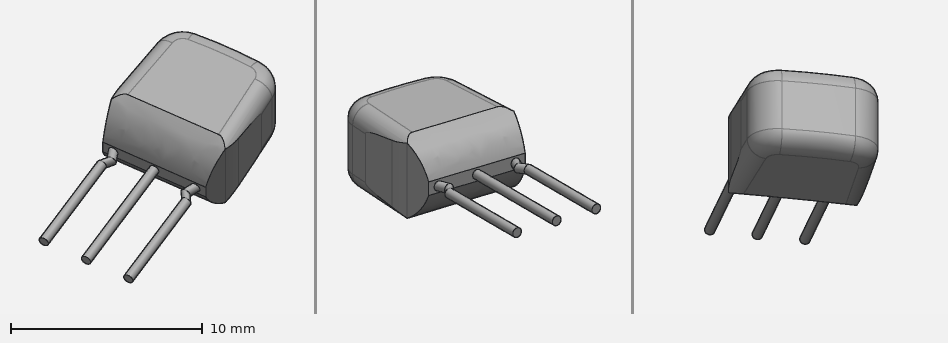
import cadquery as cq


BODY_WIDTH = 7.1
BODY_LENGTH = 7.89
BODY_HEIGHT = 4.8
HALF_WIDTH = BODY_WIDTH / 2
HALF_HEIGHT = BODY_HEIGHT / 2

EDGE_RADIUS = 1.0
CORNER_RADIUS = 1.65
ARCH_SAG = 0.23
CORNER_HALF_WIDTH = 3.4
CORNER_Y = BODY_LENGTH - ARCH_SAG
SHELL_FLARE = 0.06
SHELL_FRONT_Y = -1.5
SHELL_FRONT_HALF_WIDTH = CORNER_HALF_WIDTH + SHELL_FLARE * (CORNER_Y - SHELL_FRONT_Y)

FRONT_HALF_WIDTH = 3.1
TAPER_LENGTH = 2.05
TAPER_RADIUS = 5.25

NOSE_LENGTH = 1.98
STRIP_HALF_HEIGHT = 0.39
NOSE_UPPER_Y = 1.3
NOSE_UPPER_Z = 2.06
NOSE_LOWER_Y = 0.45
NOSE_LOWER_Z = 1.23

LEAD_DIAMETER = 0.55
LEAD_RADIUS = LEAD_DIAMETER / 2
LEAD_LENGTH = 7.13
LEAD_SPACING = 2.54
ROOT_X = 2.46
KINK_X = 2.22
KINK_Y = -0.6
STRAIGHT_START_Y = -1.07


def make_rounded_shell():
    """Arched outline extruded to full height, with its top and bottom edges rounded."""
    return (
        cq.Workplane("XY", origin=(0, 0, -HALF_HEIGHT))
        .moveTo(-SHELL_FRONT_HALF_WIDTH, SHELL_FRONT_Y)
        .lineTo(SHELL_FRONT_HALF_WIDTH, SHELL_FRONT_Y)
        .lineTo(CORNER_HALF_WIDTH, CORNER_Y)
        .threePointArc((0, BODY_LENGTH), (-CORNER_HALF_WIDTH, CORNER_Y))
        .close()
        .extrude(BODY_HEIGHT)
        .edges("|Z")
        .edges(">Y")
        .fillet(CORNER_RADIUS)
        .faces("<Z or >Z")
        .edges("not <Y")
        .fillet(EDGE_RADIUS)
    )


def make_side_walls():
    """Flat-sided prism that trims the shell to width and tapers toward the front."""
    return (
        cq.Workplane("XY", origin=(0, 0, -HALF_HEIGHT))
        .moveTo(-FRONT_HALF_WIDTH, 0)
        .lineTo(FRONT_HALF_WIDTH, 0)
        .lineTo(HALF_WIDTH, TAPER_LENGTH)
        .lineTo(HALF_WIDTH, BODY_LENGTH)
        .lineTo(-HALF_WIDTH, BODY_LENGTH)
        .lineTo(-HALF_WIDTH, TAPER_LENGTH)
        .close()
        .extrude(BODY_HEIGHT)
        .edges("|Z")
        .edges("not (<Y or >Y)")
        .fillet(TAPER_RADIUS)
    )


def make_nose_profile():
    """Side profile, extruded across the width, that shapes the curved nose."""
    lower_nose = [
        (NOSE_UPPER_Y, -NOSE_UPPER_Z),
        (NOSE_LOWER_Y, -NOSE_LOWER_Z),
        (0, -STRIP_HALF_HEIGHT),
    ]
    upper_nose = [
        (NOSE_LOWER_Y, NOSE_LOWER_Z),
        (NOSE_UPPER_Y, NOSE_UPPER_Z),
        (NOSE_LENGTH, HALF_HEIGHT),
    ]
    return (
        cq.Workplane("YZ", origin=(-HALF_WIDTH, 0, 0))
        .moveTo(BODY_LENGTH, -HALF_HEIGHT)
        .lineTo(NOSE_LENGTH, -HALF_HEIGHT)
        .spline(lower_nose, includeCurrent=True)
        .lineTo(0, STRIP_HALF_HEIGHT)
        .spline(upper_nose, includeCurrent=True)
        .lineTo(BODY_LENGTH, HALF_HEIGHT)
        .close()
        .extrude(BODY_WIDTH)
    )


def make_body():
    """Body bounded by the rounded shell, the side walls and the nose profile together."""
    return make_rounded_shell().intersect(make_side_walls()).intersect(make_nose_profile())


def make_straight_lead():
    """Plain round lead on the centre line, butting on the front face."""
    return cq.Workplane("XZ").circle(LEAD_RADIUS).extrude(LEAD_LENGTH)


def make_kinked_lead(side):
    """Outer lead that steps inward, then back out to the lead spacing (side is -1 or 1)."""
    stations = [
        (ROOT_X, 0),
        (KINK_X, KINK_Y),
        (LEAD_SPACING, STRAIGHT_START_Y),
        (LEAD_SPACING, -LEAD_LENGTH),
    ]
    sections = [
        cq.Wire.makeCircle(LEAD_RADIUS, cq.Vector(side * x, y, 0), cq.Vector(0, -1, 0))
        for x, y in stations
    ]
    return cq.Solid.makeLoft(sections, ruled=True)


body = make_body()
straight_lead = make_straight_lead()
kinked_leads = [make_kinked_lead(side) for side in (-1, 1)]

result = cq.Compound.makeCompound([body.val(), straight_lead.val(), *kinked_leads])